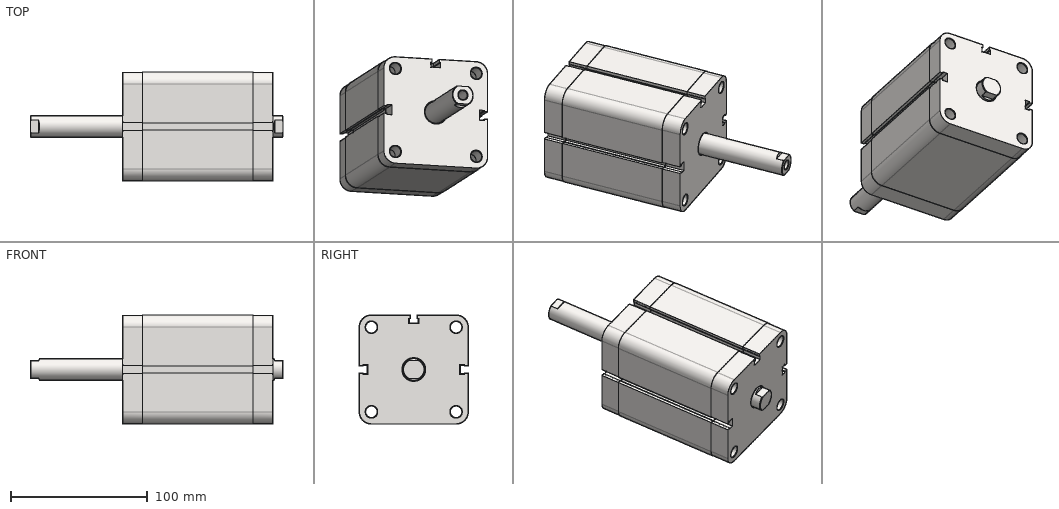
import cadquery as cq
import math


total_length = 185.0
front_rod_length = 67.5
housing_length = 110.0
cap_length = 14.5
tube_length = housing_length - 2 * cap_length

tube_width = 80.0
tube_corner_radius = 9.0
cap_inset = 0.25
cap_width = tube_width - 2 * cap_inset
cap_corner_radius = tube_corner_radius - cap_inset

slot_side_angles = (-90, 0, 90)
cap_slot_mouth = 5.6
cap_slot_undercut = 7.4
cap_slot_depth = 6.4
tube_slot_mouth = 5.0
tube_slot_undercut = 6.0
tube_slot_depth = 5.8
slot_lip = 2.7

bolt_pitch = 62.0
bolt_hole_diameter = 8.4
bolt_hole_chamfer = 0.4

rod_diameter = 16.0
front_rod_chamfer = 0.4
rear_rod_chamfer = 0.5
rod_bore_chamfer = 0.7
flat_width = 13.0
flat_length = 6.0
flat_end_run = 0.6
thread_hole_diameter = 6.8
thread_hole_depth = 20.0
drill_point_angle = 118.0
thread_hole_chamfer = 0.5


def x_plane(x):
    """Sketch plane facing +X: sketch x is Y and sketch y is Z."""
    return cq.Workplane("YZ", origin=(x, 0, 0))


def t_slot(x, length, width, mouth, undercut, depth):
    """T-slot cutter sunk into the top face of a profile of the given width."""
    top = width / 2
    lip_bottom = tube_width / 2 - slot_lip
    floor = tube_width / 2 - depth
    outline = [
        (-mouth / 2, top),
        (-mouth / 2, lip_bottom),
        (-undercut / 2, lip_bottom),
        (-undercut / 2, floor),
        (undercut / 2, floor),
        (undercut / 2, lip_bottom),
        (mouth / 2, lip_bottom),
        (mouth / 2, top),
    ]
    return x_plane(x).polyline(outline).close().extrude(length)


def profile(x, length, width, corner_radius, slot_sizes):
    """Rounded square block with T-slots and four bolt holes through it."""
    block = x_plane(x).rect(width, width).extrude(length).edges("|X").fillet(corner_radius)
    bolt_holes = x_plane(x).rect(bolt_pitch, bolt_pitch, forConstruction=True).vertices()
    block = block.cut(bolt_holes.circle(bolt_hole_diameter / 2).extrude(length))
    slot = t_slot(x, length, width, *slot_sizes)
    for angle in slot_side_angles:
        block = block.cut(slot.rotate((0, 0, 0), (1, 0, 0), angle))
    return block


def make_tube(x):
    """Tube with a round bore that fits the rod."""
    slot_sizes = (tube_slot_mouth, tube_slot_undercut, tube_slot_depth)
    tube = profile(x, tube_length, tube_width, tube_corner_radius, slot_sizes)
    return tube.cut(x_plane(x).circle(rod_diameter / 2).extrude(tube_length))


def mouth_chamfer(face_x, inward, hole_diameter, chamfer):
    """Conical cutter on the X axis that widens a hole's mouth in the face at face_x."""
    radius = hole_diameter / 2
    inner_x = face_x + inward * chamfer
    outline = [
        (face_x, 0),
        (face_x, radius + chamfer),
        (inner_x, radius),
        (inner_x, 0),
    ]
    return cq.Workplane("XY").polyline(outline).close().revolve(360, (0, 0, 0), (1, 0, 0))


def make_cap(x, outer_x, inward):
    """End cap with chamfered bore and bolt holes in its outer face; inward is +1 or -1 along X."""
    slot_sizes = (cap_slot_mouth, cap_slot_undercut, cap_slot_depth)
    cap = profile(x, cap_length, cap_width, cap_corner_radius, slot_sizes)
    cap = cap.cut(x_plane(x).circle(rod_diameter / 2).extrude(cap_length))
    cap = cap.cut(mouth_chamfer(outer_x, inward, rod_diameter, rod_bore_chamfer))
    bolt_mouth = mouth_chamfer(outer_x, inward, bolt_hole_diameter, bolt_hole_chamfer)
    for side_y in (-1, 1):
        for side_z in (-1, 1):
            offset = (0, side_y * bolt_pitch / 2, side_z * bolt_pitch / 2)
            cap = cap.cut(bolt_mouth.translate(offset))
    return cap


def flat_cutter(end_x, inward):
    """Cutter for the upper wrench flat at one rod end; inward is +1 or -1 along X."""
    flat_height = flat_width / 2
    rod_radius = rod_diameter / 2
    outline = [
        (end_x, flat_height),
        (end_x + inward * flat_length, flat_height),
        (end_x + inward * (flat_length + flat_end_run), rod_radius),
        (end_x, rod_radius),
    ]
    return cq.Workplane("XZ").polyline(outline).close().extrude(rod_radius, both=True)


def thread_hole():
    """Drilled hole with a conical bottom and a chamfered mouth in the front end of the rod."""
    radius = thread_hole_diameter / 2
    point_length = radius / math.tan(math.radians(drill_point_angle / 2))
    outline = [
        (0, 0),
        (0, radius + thread_hole_chamfer),
        (thread_hole_chamfer, radius),
        (thread_hole_depth, radius),
        (thread_hole_depth + point_length, 0),
    ]
    return cq.Workplane("XY").polyline(outline).close().revolve(360, (0, 0, 0), (1, 0, 0))


def make_rod():
    """Through rod with two wrench flats at each end and a threaded hole in its front end."""
    rod = x_plane(0).circle(rod_diameter / 2).extrude(total_length)
    rod = rod.faces("<X").chamfer(front_rod_chamfer)
    rod = rod.faces(">X").chamfer(rear_rod_chamfer)
    for end_x, inward in ((0, 1), (total_length, -1)):
        upper_flat = flat_cutter(end_x, inward)
        rod = rod.cut(upper_flat).cut(upper_flat.mirror("XY"))
    return rod.cut(thread_hole())


front_cap_x = front_rod_length
tube_x = front_cap_x + cap_length
rear_cap_x = tube_x + tube_length
rod = make_rod()
front_cap = make_cap(front_cap_x, front_cap_x, 1)
tube = make_tube(tube_x)
rear_cap = make_cap(rear_cap_x, rear_cap_x + cap_length, -1)

result = cq.Compound.makeCompound([front_cap.val(), tube.val(), rear_cap.val(), rod.val()])